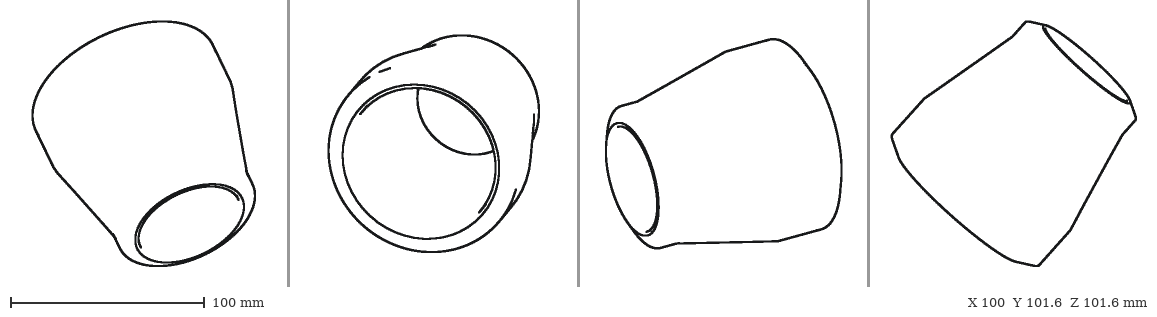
import cadquery as cq
import math

length = 100.0
large_diameter = 101.6
large_bore = 79.6
small_diameter = 76.1
small_bore = 56.1

large_end_length = 30.0
large_bore_length = 17.0
small_end_length = 15.0

root_face = 2.0
bevel_angle = math.radians(30.0)

bevel_corner_radius = 0.9
neck_radius = 2.0
bore_mouth_radius = 0.3

large_radius = large_diameter / 2
small_radius = small_diameter / 2
large_bore_radius = large_bore / 2
small_bore_radius = small_bore / 2
taper_start = large_end_length
taper_end = length - small_end_length


def bevel_depth(outer_radius, bore_radius):
    """Axial length of the bevel from the root face out to the outside surface."""
    return (outer_radius - bore_radius - root_face) * math.tan(bevel_angle)


large_bevel_end = bevel_depth(large_radius, large_bore_radius)
small_bevel_start = length - bevel_depth(small_radius, small_bore_radius)


def make_reducer():
    """Revolve the sharp-cornered wall section about the X axis."""
    section = (
        cq.Workplane("XY")
        .moveTo(0, large_bore_radius)
        .lineTo(0, large_bore_radius + root_face)
        .lineTo(large_bevel_end, large_radius)
        .lineTo(taper_start, large_radius)
        .lineTo(taper_end, small_radius)
        .lineTo(small_bevel_start, small_radius)
        .lineTo(length, small_bore_radius + root_face)
        .lineTo(length, small_bore_radius)
        .lineTo(taper_end, small_bore_radius)
        .lineTo(large_bore_length, large_bore_radius)
        .close()
    )
    return section.revolve(360, (0, 0, 0), (1, 0, 0))


def round_edge(body, edge_x, edge_radius, rounding):
    """Round the circular edge of the given radius that lies in the plane X = edge_x."""
    seam_point = cq.Vector(edge_x, edge_radius, 0)
    nearest = min(
        body.edges("%CIRCLE").vals(),
        key=lambda edge: (edge.startPoint() - seam_point).Length,
    )
    return body.newObject([nearest]).fillet(rounding)


result = make_reducer()
result = round_edge(result, large_bevel_end, large_radius, bevel_corner_radius)
result = round_edge(result, small_bevel_start, small_radius, bevel_corner_radius)
result = round_edge(result, taper_end, small_radius, neck_radius)
result = round_edge(result, 0, large_bore_radius, bore_mouth_radius)
result = round_edge(result, length, small_bore_radius, bore_mouth_radius)